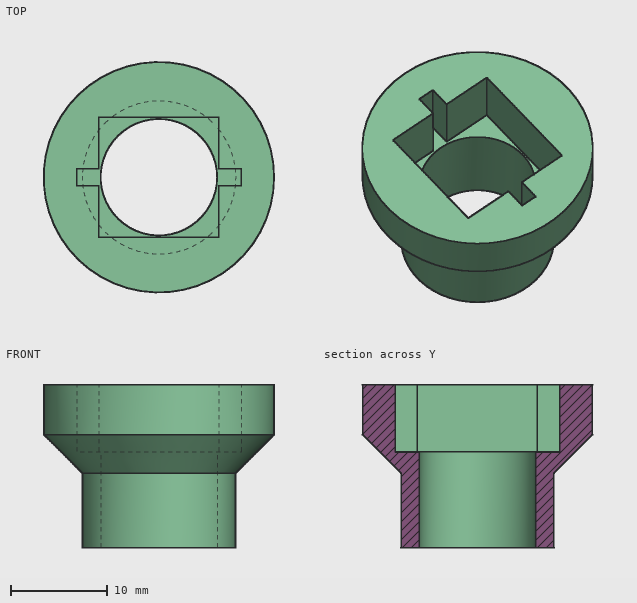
import cadquery as cq

flange_diameter = 24.0
neck_diameter = 15.95
total_height = 17.0
flange_height = 5.2
cone_height = (flange_diameter - neck_diameter) / 2
neck_height = total_height - flange_height - cone_height

bore_diameter = 12.1
socket_side = 12.5
socket_depth = 7.0
key_slot_span = 17.1
key_slot_width = 1.8


def make_body():
    """Revolve the neck, taper and flange around the Z axis."""
    neck_radius = neck_diameter / 2
    flange_radius = flange_diameter / 2
    return (
        cq.Workplane("XZ")
        .moveTo(0, 0)
        .lineTo(neck_radius, 0)
        .lineTo(neck_radius, neck_height)
        .lineTo(flange_radius, neck_height + cone_height)
        .lineTo(flange_radius, total_height)
        .lineTo(0, total_height)
        .close()
        .revolve(360, (0, 0, 0), (0, 1, 0))
    )


def make_socket():
    """Square pocket with a key slot on each X side, all to one depth."""
    floor = cq.Workplane("XY").workplane(offset=total_height - socket_depth)
    square = floor.rect(socket_side, socket_side).extrude(socket_depth)
    key_slots = floor.rect(key_slot_span, key_slot_width).extrude(socket_depth)
    return square.union(key_slots)


bore = cq.Workplane("XY").circle(bore_diameter / 2).extrude(total_height)
result = make_body().cut(bore).cut(make_socket())